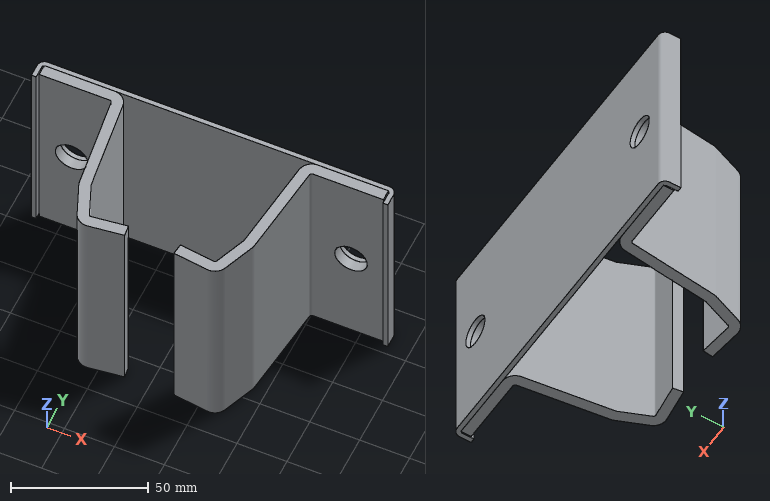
import cadquery as cq
import math

height = 85.0
overall_depth = 62.43
hole_diameter = 13.0
hole_spacing = 112.0
inner_bend_radius = 1.0

plate_width = 143.0
plate_thickness = 2.0
lip_depth = 8.0

bracket_thickness = 4.5
flange_edge_x = 69.0
flange_length = 28.25
leg_length = 38.0
arm_length = 14.2

leg_heading = -83.0
knee_heading = -68.0
arm_heading = 7.0


def cosine(angle):
    return math.cos(math.radians(angle))


def sine(angle):
    return math.sin(math.radians(angle))


mid_bend_radius = inner_bend_radius + bracket_thickness / 2
outer_bend_radius = inner_bend_radius + bracket_thickness
leg_drop = -leg_length * sine(leg_heading)
bends_drop = -2 * mid_bend_radius * cosine(leg_heading)
knee_drop = overall_depth - plate_thickness - 2 * outer_bend_radius - leg_drop - bends_drop
knee_length = knee_drop / -sine(knee_heading)


def trace_bent_path(start, stretches, bend_radius):
    """Line at mid-height through (length, heading) stretches, joined by tangent arcs."""
    x, y = start
    path = cq.Workplane("XY", origin=(0, 0, height / 2)).moveTo(x, y)
    previous_heading = None
    for length, heading in stretches:
        if previous_heading is not None:
            turn_radius = math.copysign(bend_radius, heading - previous_heading)
            middle_heading = (previous_heading + heading) / 2
            centre_x = x - turn_radius * sine(previous_heading)
            centre_y = y + turn_radius * cosine(previous_heading)
            arc_middle = (
                centre_x + turn_radius * sine(middle_heading),
                centre_y - turn_radius * cosine(middle_heading),
            )
            x = centre_x + turn_radius * sine(heading)
            y = centre_y - turn_radius * cosine(heading)
            path = path.threePointArc(arc_middle, (x, y))
        x += length * cosine(heading)
        y += length * sine(heading)
        path = path.lineTo(x, y)
        previous_heading = heading
    return path


def make_bent_sheet(start, stretches, thickness):
    """Sheet of full height, swept along its bent mid-thickness line."""
    path = trace_bent_path(start, stretches, inner_bend_radius + thickness / 2)
    start_heading = stretches[0][1]
    section_plane = cq.Plane(
        origin=(start[0], start[1], height / 2),
        xDir=(-sine(start_heading), cosine(start_heading), 0),
        normal=(cosine(start_heading), sine(start_heading), 0),
    )
    return cq.Workplane(section_plane).rect(thickness, height).sweep(path)


def drill_mounting_hole(body, x):
    """Cut a round hole right through along Y, at mid-height and at the given X."""
    cutter = (
        cq.Workplane("XZ")
        .center(x, height / 2)
        .circle(hole_diameter / 2)
        .extrude(overall_depth, both=True)
    )
    return body.cut(cutter)


def make_back_plate():
    """Plate with its back on Y = 0, centred on X, with both lips pointing to -Y."""
    bend_allowance = inner_bend_radius + plate_thickness
    straight_lip = lip_depth - bend_allowance
    straight_web = plate_width - 2 * bend_allowance
    plate = make_bent_sheet(
        start=(-plate_width / 2 + plate_thickness / 2, -lip_depth),
        stretches=[(straight_lip, 90), (straight_web, 0), (straight_lip, -90)],
        thickness=plate_thickness,
    )
    for side in (-1, 1):
        plate = drill_mounting_hole(plate, side * hole_spacing / 2)
    return plate


def make_bracket(side, back_plate):
    """Jaw bracket on the left (-1) or right (+1): flange, leg, knee and inward arm."""
    bracket = make_bent_sheet(
        start=(-flange_edge_x, -plate_thickness - bracket_thickness / 2),
        stretches=[
            (flange_length, 0),
            (leg_length, leg_heading),
            (knee_length, knee_heading),
            (arm_length, arm_heading),
        ],
        thickness=bracket_thickness,
    )
    bracket = drill_mounting_hole(bracket, -hole_spacing / 2)
    bracket = bracket.cut(back_plate)
    return bracket if side < 0 else bracket.mirror("YZ")


back_plate = make_back_plate()
brackets = [make_bracket(side, back_plate) for side in (-1, 1)]

result = cq.Compound.makeCompound([back_plate.val(), *[bracket.val() for bracket in brackets]])